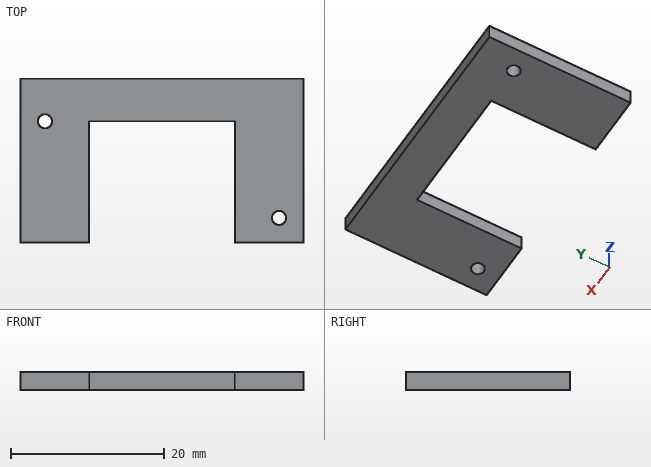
import cadquery as cq

length = 36.95
width = 21.4
thickness = 2.35

opening_width = 19.0
bridge_width = 5.58
opening_depth = width - bridge_width

hole_diameter = 1.8
hole_edge_distance = 3.2
hole_x = length / 2 - hole_edge_distance
left_hole_y = width / 2 - bridge_width
right_hole_y = -width / 2 + hole_edge_distance

plate = cq.Workplane("XY").box(length, width, thickness)

opening = (
    cq.Workplane("XY")
    .box(opening_width, opening_depth, thickness)
    .translate((0, (opening_depth - width) / 2, 0))
)

result = (
    plate.cut(opening)
    .faces(">Z")
    .workplane(origin=(0, 0, 0))
    .pushPoints([(-hole_x, left_hole_y), (hole_x, right_hole_y)])
    .hole(hole_diameter)
)